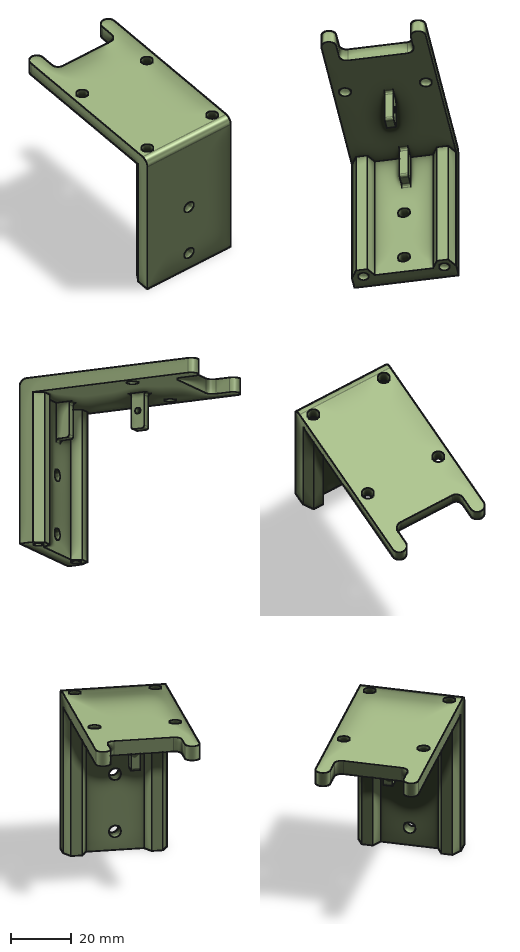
import cadquery as cq
import math

length = 65.0
width = 35.0
height = 56.0
thickness = 5.0
corner_radius = 2.6

finger_width = thickness
notch_depth = 2 * thickness
notch_radius = finger_width / 2

rail_depth = 3.3
rail_tip_width = 3.8
rail_flank_angle = 30.0
rail_inset = 0.1

hole_diameter = 4.0
rail_bore_diameter = 3.5
plate_hole_x = 25.0
wall_hole_low = 6.5
wall_hole_spacing = 20.0

tab_width = 4.9
tab_length = 12.2
tab_thickness = 3.0
tab_center_y = -0.8
tab_center_x = 29.8
wall_tab_projection = 4.75
tab_radius = 1.0
tab_hole_diameter = 2.0
tab_hole_drop = 6.1

wall_x = length - thickness
plate_bottom = height - thickness
rail_flank = rail_depth * math.tan(math.radians(rail_flank_angle))
rail_center_y = width / 2 - rail_inset - rail_flank - rail_tip_width / 2
tab_bottom = plate_bottom - tab_length


def bracket_body():
    """L-shaped body with a rounded outer corner."""
    profile = (
        cq.Workplane("XZ", origin=(0, width / 2, 0))
        .moveTo(0, height)
        .lineTo(length, height)
        .lineTo(length, 0)
        .lineTo(wall_x, 0)
        .lineTo(wall_x, plate_bottom)
        .lineTo(0, plate_bottom)
        .close()
    )
    return profile.extrude(width).edges(">X and >Z").fillet(corner_radius)


def finger_notch():
    """Notch whose sides blend into the full-round finger ends."""
    half_notch = width / 2 - finger_width
    notch = (
        cq.Workplane("XY", origin=(0, 0, plate_bottom))
        .rect(2 * notch_depth, 2 * half_notch)
        .extrude(thickness)
        .edges("|Z and >X")
        .fillet(notch_radius)
    )
    finger_radius = finger_width / 2
    for side in (-1, 1):
        center_y = side * (width / 2 - finger_radius)
        end_block = (
            cq.Workplane("XY", origin=(finger_radius / 2, center_y, plate_bottom))
            .rect(finger_radius, finger_width)
            .extrude(thickness)
        )
        round_end = (
            cq.Workplane("XY", origin=(finger_radius, center_y, plate_bottom))
            .circle(finger_radius)
            .extrude(thickness)
        )
        notch = notch.union(end_block.cut(round_end))
    return notch


def rail(center_y):
    """Rail on the wall, narrowing towards its tip."""
    half_tip = rail_tip_width / 2
    half_base = half_tip + rail_flank
    tip_x = wall_x - rail_depth
    return (
        cq.Workplane("XY", origin=(0, center_y, 0))
        .polyline([(wall_x, -half_base), (tip_x, -half_tip), (tip_x, half_tip), (wall_x, half_base)])
        .close()
        .extrude(plate_bottom)
    )


def tab_block(left, right):
    """Plain block below the plate between two X positions."""
    return (
        cq.Workplane("XY")
        .box(right - left, tab_thickness, tab_length, centered=(False, True, False))
        .translate((left, tab_center_y, tab_bottom))
    )


def drill(axis_plane, origin, diameter, depth):
    """Cylinder from the origin along the normal of the plane."""
    return cq.Workplane(axis_plane, origin=origin).circle(diameter / 2).extrude(depth)


def root_fillet(corner_x, corner_z, side_x, side_z):
    """Concave fillet filling an inside corner, opening towards the given sides."""
    reach_x = side_x * tab_radius
    reach_z = side_z * tab_radius
    arc_offset = 1 - math.sqrt(0.5)
    return (
        cq.Workplane("XZ", origin=(corner_x, tab_center_y + tab_thickness / 2, corner_z))
        .moveTo(reach_x, 0)
        .threePointArc((arc_offset * reach_x, arc_offset * reach_z), (0, reach_z))
        .lineTo(0, 0)
        .close()
        .extrude(tab_thickness)
    )


def free_tab():
    """Drilled tab standing alone under the plate."""
    left = tab_center_x - tab_width / 2
    right = tab_center_x + tab_width / 2
    tab = tab_block(left, right).edges("|Y and <Z").fillet(tab_radius)
    tab = tab.union(root_fillet(left, plate_bottom, -1, -1))
    tab = tab.union(root_fillet(right, plate_bottom, 1, -1))
    hole_start = (tab_center_x, tab_center_y + tab_thickness / 2, plate_bottom - tab_hole_drop)
    return tab.cut(drill("XZ", hole_start, tab_hole_diameter, tab_thickness))


def wall_tab():
    """Tab in the inside corner, blended into both the plate and the wall."""
    left = wall_x - wall_tab_projection
    tab = tab_block(left, wall_x).edges("|Y and <Z and <X").fillet(tab_radius)
    tab = tab.union(root_fillet(left, plate_bottom, -1, -1))
    return tab.union(root_fillet(wall_x, tab_bottom, -1, -1))


result = bracket_body().cut(finger_notch()).union(free_tab()).union(wall_tab())

for side in (-1, 1):
    hole_y = side * rail_center_y
    result = result.union(rail(hole_y))
    for hole_x in (plate_hole_x, wall_x):
        result = result.cut(drill("XY", (hole_x, hole_y, plate_bottom), hole_diameter, thickness))
    result = result.cut(drill("XY", (wall_x, hole_y, 0), rail_bore_diameter, plate_bottom))

for hole_z in (wall_hole_low, wall_hole_low + wall_hole_spacing):
    result = result.cut(drill("YZ", (wall_x, 0, hole_z), hole_diameter, thickness))